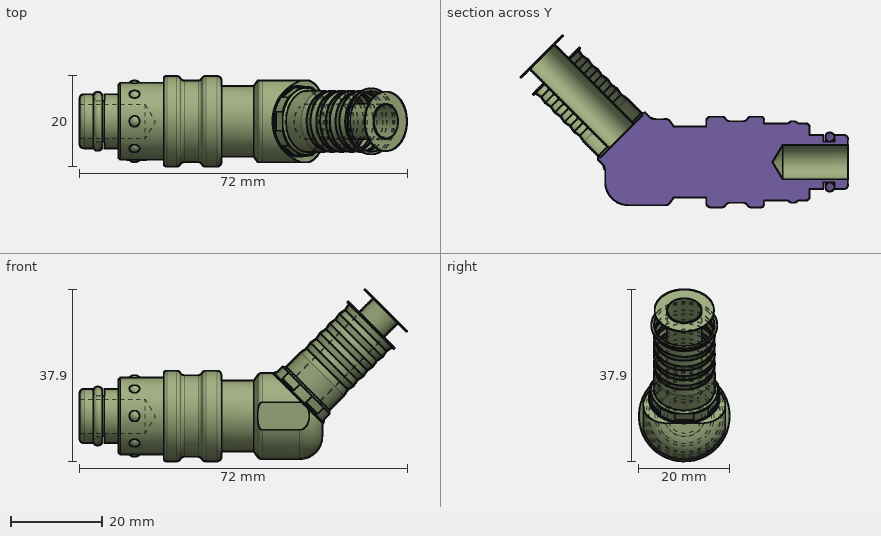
import cadquery as cq
import math


PLUG_RADIUS = 11.95 / 2
PLUG_EDGE_FILLET = 1.0
GROOVE_START = 3.0
GROOVE_END = 5.5
GROOVE_RADIUS = 9.0 / 2
SEAL_OUTER_RADIUS = 13.0 / 2
BORE_RADIUS = 7.5 / 2
BORE_DEPTH = 14.4
DRILL_POINT_ANGLE = 118.0

CARRIER_START = 8.5
CARRIER_RADIUS = 17.0 / 2
CARRIER_CHAMFER = 0.5
BALL_COUNT = 8
BALL_X = 12.1
BALL_RADIUS = 1.5
BALL_TIP_RADIUS = 18.0 / 2

GRIP_START = 18.5
GRIP_END = 31.2
GRIP_RADIUS = 20.0 / 2
WAIST_RADIUS = 18.0 / 2
FRONT_BAND_FILLET = 0.65
REAR_BAND_FILLET = 1.1
FRONT_BAND_END = 21.3
REAR_BAND_START = 27.75
SHOULDER_LENGTH = 1.7

SHANK_RADIUS = 15.6 / 2
ELBOW_START = 38.25
ELBOW_RADIUS = 9.5
ELBOW_END = 53.4
ELBOW_END_FILLET = 5.1
ELBOW_BEVEL_LENGTH = 0.85
ELBOW_BEVEL_RADIUS = 9.0
FLAT_WIDTH = 18.0

BRANCH_X = 44.1
BRANCH_ANGLE = 45.0
SEAT_AT = 5.5
LIP_END = 5.7
LIP_RADIUS = 15.6 / 2
COLLAR_RADIUS = 15.25 / 2
COLLAR_FLATS_START = 6.1
COLLAR_END = 8.05
COLLAR_CONE_END = 8.55
COLLAR_FLAT_COUNT = 6
COLLAR_ACROSS_FLATS = 14.7

SLEEVE_RADIUS = 13.5 / 2
SLEEVE_WALL = 0.15
BELLOWS_START = 13.1
BELLOWS_END = 28.05
BELLOWS_FOLDS = 5
FOLD_DEPTH = 0.3
RIM_RADIUS = 14.5 / 2
RIM_THICKNESS = 0.3
TUBE_RADIUS = 7.8 / 2
FLANGE_RADIUS = 13.1 / 2
FLANGE_END = 32.9
FLANGE_THICKNESS = 0.2


def revolve_about_x(profile):
    """Close a profile of (x, radius) points and turn it about the X axis."""
    return profile.close().revolve(360, (0, 0, 0), (1, 0, 0))


def cylinder_along_x(start, end, radius):
    return cq.Workplane("YZ", origin=(start, 0, 0)).circle(radius).extrude(end - start)


def place_on_branch(body):
    """Move a body built along X from the origin onto the branch axis."""
    return body.rotate((0, 0, 0), (0, 1, 0), -BRANCH_ANGLE).translate((BRANCH_X, 0, 0))


def make_plug():
    plug = cylinder_along_x(0, CARRIER_START, PLUG_RADIUS).faces("<X").edges().fillet(PLUG_EDGE_FILLET)
    groove = cylinder_along_x(GROOVE_START, GROOVE_END, PLUG_RADIUS).cut(
        cylinder_along_x(GROOVE_START, GROOVE_END, GROOVE_RADIUS)
    )
    return plug.cut(groove)


def make_bore():
    tip_length = BORE_RADIUS / math.tan(math.radians(DRILL_POINT_ANGLE / 2))
    return revolve_about_x(
        cq.Workplane("XY")
        .lineTo(0, BORE_RADIUS)
        .lineTo(BORE_DEPTH, BORE_RADIUS)
        .lineTo(BORE_DEPTH + tip_length, 0)
    )


def make_ball_carrier():
    carrier = cylinder_along_x(CARRIER_START, GRIP_START, CARRIER_RADIUS)
    carrier = carrier.faces("<X").edges().chamfer(CARRIER_CHAMFER)
    for index in range(BALL_COUNT):
        ball = cq.Workplane("XY").sphere(BALL_RADIUS)
        ball = ball.translate((BALL_X, 0, BALL_TIP_RADIUS - BALL_RADIUS))
        carrier = carrier.union(ball.rotate((0, 0, 0), (1, 0, 0), index * 360 / BALL_COUNT))
    return carrier


def make_grip():
    middle_radius = (GRIP_RADIUS + WAIST_RADIUS) / 2
    half_shoulder = SHOULDER_LENGTH / 2
    waist_start = FRONT_BAND_END + SHOULDER_LENGTH
    waist_end = REAR_BAND_START - SHOULDER_LENGTH
    return revolve_about_x(
        cq.Workplane("XY")
        .moveTo(GRIP_START, 0)
        .lineTo(GRIP_START, GRIP_RADIUS - FRONT_BAND_FILLET)
        .radiusArc((GRIP_START + FRONT_BAND_FILLET, GRIP_RADIUS), FRONT_BAND_FILLET)
        .lineTo(FRONT_BAND_END, GRIP_RADIUS)
        .tangentArcPoint((FRONT_BAND_END + half_shoulder, middle_radius), relative=False)
        .tangentArcPoint((waist_start, WAIST_RADIUS), relative=False)
        .lineTo(waist_end, WAIST_RADIUS)
        .tangentArcPoint((waist_end + half_shoulder, middle_radius), relative=False)
        .tangentArcPoint((REAR_BAND_START, GRIP_RADIUS), relative=False)
        .lineTo(GRIP_END - REAR_BAND_FILLET, GRIP_RADIUS)
        .radiusArc((GRIP_END, GRIP_RADIUS - REAR_BAND_FILLET), REAR_BAND_FILLET)
        .lineTo(GRIP_END, 0)
    )


def make_elbow():
    bevel_end = ELBOW_START + ELBOW_BEVEL_LENGTH
    bevel_angle = math.atan2(ELBOW_BEVEL_RADIUS - SHANK_RADIUS, ELBOW_BEVEL_LENGTH)
    rounding_length = (ELBOW_RADIUS - ELBOW_BEVEL_RADIUS) / math.tan(bevel_angle / 2)
    elbow = revolve_about_x(
        cq.Workplane("XY")
        .moveTo(ELBOW_START, 0)
        .lineTo(ELBOW_START, SHANK_RADIUS)
        .lineTo(bevel_end, ELBOW_BEVEL_RADIUS)
        .tangentArcPoint((bevel_end + rounding_length, ELBOW_RADIUS), relative=False)
        .lineTo(ELBOW_END - ELBOW_END_FILLET, ELBOW_RADIUS)
        .radiusArc((ELBOW_END, ELBOW_RADIUS - ELBOW_END_FILLET), ELBOW_END_FILLET)
        .lineTo(ELBOW_END, 0)
    )
    length = ELBOW_END - ELBOW_START
    flats = cq.Workplane("XY").box(length, FLAT_WIDTH, 2 * ELBOW_RADIUS)
    elbow = elbow.intersect(flats.translate((ELBOW_START + length / 2, 0, 0)))
    beyond_seat = cq.Workplane("YZ", origin=(SEAT_AT, 0, 0)).rect(4 * ELBOW_RADIUS, 4 * ELBOW_RADIUS)
    return elbow.cut(place_on_branch(beyond_seat.extrude(2 * ELBOW_RADIUS)))


def make_collar():
    lip = cylinder_along_x(SEAT_AT, LIP_END, LIP_RADIUS)
    ring = cylinder_along_x(LIP_END, COLLAR_END, COLLAR_RADIUS)
    flats_length = COLLAR_END - COLLAR_FLATS_START
    hexagon = (
        cq.Workplane("YZ", origin=(COLLAR_FLATS_START, 0, 0))
        .polygon(COLLAR_FLAT_COUNT, COLLAR_ACROSS_FLATS, circumscribed=True)
        .extrude(flats_length)
        .rotate((0, 0, 0), (1, 0, 0), 180 / COLLAR_FLAT_COUNT)
    )
    flat_cutter = cylinder_along_x(COLLAR_FLATS_START, COLLAR_END, 2 * COLLAR_RADIUS).cut(hexagon)
    cone = revolve_about_x(
        cq.Workplane("XY")
        .moveTo(COLLAR_END, 0)
        .lineTo(COLLAR_END, COLLAR_ACROSS_FLATS / 2)
        .lineTo(COLLAR_CONE_END, SLEEVE_RADIUS)
        .lineTo(COLLAR_CONE_END, 0)
    )
    return lip.union(ring.cut(flat_cutter)).union(cone)


def bellows_form(radius, start):
    """Solid of the straight stretch and the folds, at the given crest radius."""
    half_fold = (BELLOWS_END - BELLOWS_START) / BELLOWS_FOLDS / 2
    profile = cq.Workplane("XY").moveTo(start, 0).lineTo(start, radius).lineTo(BELLOWS_START, radius)
    for fold in range(BELLOWS_FOLDS):
        valley_x = BELLOWS_START + (2 * fold + 1) * half_fold
        profile = profile.lineTo(valley_x, radius - FOLD_DEPTH).lineTo(valley_x + half_fold, radius)
    return revolve_about_x(profile.lineTo(BELLOWS_END, 0))


def make_sleeve_and_tube():
    inner_radius = SLEEVE_RADIUS - SLEEVE_WALL
    rim_end = BELLOWS_END + RIM_THICKNESS
    sleeve = bellows_form(SLEEVE_RADIUS, COLLAR_END)
    sleeve = sleeve.union(cylinder_along_x(BELLOWS_END, rim_end, RIM_RADIUS))
    sleeve = sleeve.union(make_collar())
    sleeve = sleeve.cut(bellows_form(inner_radius, COLLAR_END))
    sleeve = sleeve.cut(cylinder_along_x(BELLOWS_END, rim_end, inner_radius))
    tube = cylinder_along_x(COLLAR_END, FLANGE_END, TUBE_RADIUS)
    tube = tube.union(cylinder_along_x(FLANGE_END - FLANGE_THICKNESS, FLANGE_END, FLANGE_RADIUS))
    tube = tube.cut(cylinder_along_x(COLLAR_END, FLANGE_END, BORE_RADIUS))
    return place_on_branch(sleeve.union(tube))


def make_housing():
    shank = cylinder_along_x(GRIP_END, ELBOW_START, SHANK_RADIUS)
    housing = make_plug().union(make_ball_carrier()).union(make_grip()).union(shank)
    return housing.union(make_elbow()).union(make_sleeve_and_tube()).cut(make_bore())


def make_seal_ring():
    """O-ring seated on the groove floor against its front wall."""
    section_radius = (SEAL_OUTER_RADIUS - GROOVE_RADIUS) / 2
    section = cq.Workplane("XY").center(GROOVE_START + section_radius, GROOVE_RADIUS + section_radius)
    axis_offset = -(GROOVE_RADIUS + section_radius)
    return section.circle(section_radius).revolve(360, (0, axis_offset, 0), (1, axis_offset, 0))


housing = make_housing()
seal_ring = make_seal_ring()

result = cq.Compound.makeCompound([housing.solids().val(), seal_ring.val()])